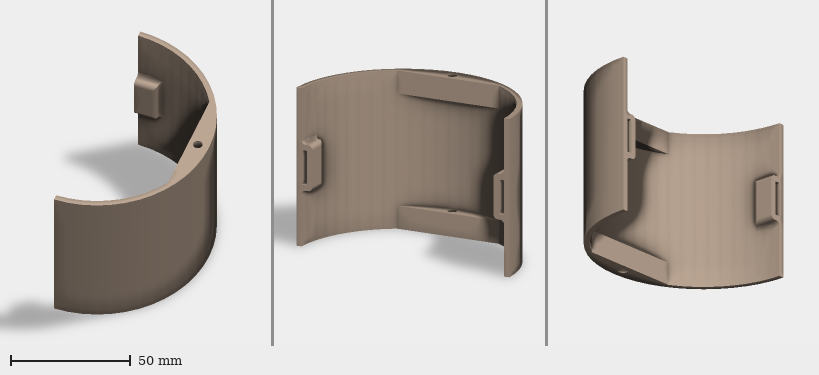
import cadquery as cq

outer_radius = 50
wall = 2.5
height = 69
inner_radius = outer_radius - wall

plate_thickness = 10
plate_face_x = 41
hole_diameter = 4
hole_x = 45

slot_width = 2.5
slot_height = 15
slot_depth = 7.5
boss_wall = 2.5
boss_length = slot_depth + boss_wall
boss_height = slot_height + 2 * boss_wall
boss_inner_y = inner_radius - slot_width - boss_wall
boss_outer_y = inner_radius + wall / 2
boss_fillet = 2
side_root_fillet = 1.8
end_root_fillet = 1.5
middle_z = height / 2
boss_bottom = middle_z - boss_height / 2
boss_top = middle_z + boss_height / 2
edge_margin = 0.1


def box(x_min, x_max, y_min, y_max, z_min, z_max):
    """Box given by its limits along each axis."""
    size = (x_max - x_min, y_max - y_min, z_max - z_min)
    return cq.Workplane("XY").box(*size, centered=False).translate((x_min, y_min, z_min))


def half_disc(radius):
    """Half cylinder of full height on the +X side."""
    return (
        cq.Workplane("XY")
        .moveTo(0, -radius)
        .threePointArc((radius, 0), (0, radius))
        .close()
        .extrude(height)
    )


def make_shell():
    """Curved wall with a drilled plate at each end of the crown."""
    cavity = half_disc(inner_radius)
    plate_gap = box(
        plate_face_x, outer_radius, -outer_radius, outer_radius,
        plate_thickness, height - plate_thickness,
    )
    open_side = box(0, plate_face_x, -outer_radius, outer_radius, 0, height)
    hole = cq.Workplane("XY").center(hole_x, 0).circle(hole_diameter / 2).extrude(height)
    return half_disc(outer_radius).cut(cavity.intersect(open_side.union(plate_gap))).cut(hole)


def make_boss():
    """Rectangular boss on the +Y edge, reaching into the shell wall."""
    return box(0, boss_length, boss_inner_y, boss_outer_y, boss_bottom, boss_top)


def root_edges(body, x_min, x_max):
    """Edges in the given X span where the +Y boss meets the inside of the shell."""
    lower_corner = (x_min, inner_radius - wall / 2, boss_bottom - edge_margin)
    upper_corner = (x_max, inner_radius, boss_top + edge_margin)
    return body.edges(cq.selectors.BoxSelector(lower_corner, upper_corner))


def crest_edges(body):
    """Edges around the innermost face of the +Y boss, except the one on the open side."""
    lower_corner = (edge_margin, boss_inner_y - edge_margin, boss_bottom - edge_margin)
    upper_corner = (boss_length + edge_margin, boss_inner_y + edge_margin, boss_top + edge_margin)
    return body.edges(cq.selectors.BoxSelector(lower_corner, upper_corner))


def round_boss(body):
    """Blend the +Y boss into the shell and round its crest."""
    body = root_edges(body, edge_margin, boss_length - edge_margin).fillet(side_root_fillet)
    body = root_edges(body, boss_length - edge_margin, boss_length + edge_margin).fillet(end_root_fillet)
    return crest_edges(body).fillet(boss_fillet)


def make_slot():
    """Blind slot entering the +Y boss from its open-side face."""
    return box(
        0, slot_depth, inner_radius - slot_width, inner_radius,
        middle_z - slot_height / 2, middle_z + slot_height / 2,
    )


body = round_boss(make_shell().union(make_boss())).cut(make_slot())
half = body.intersect(box(0, outer_radius, 0, outer_radius, 0, height))
result = half.union(half.mirror("XZ"))